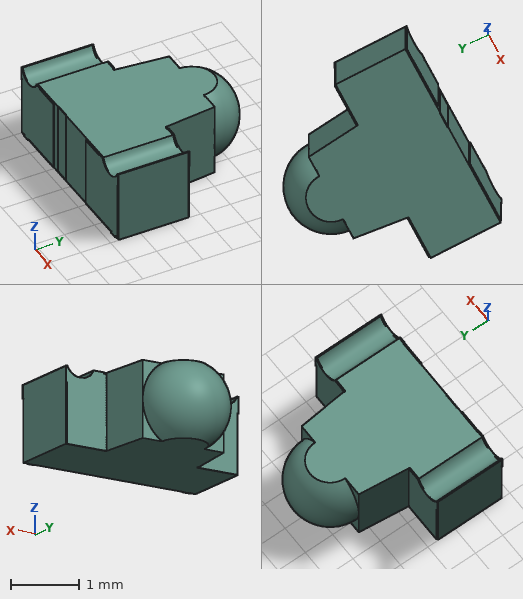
import cadquery as cq
import math

length = 3.0
depth = 1.2
height = 1.2
half_length = length / 2
half_depth = depth / 2
half_height = height / 2

plate_thickness = 0.02
lining_thickness = 0.02
edge_inset = 0.02
front_plate_inner_x = 0.5
front_top_land_x = 0.92
front_ear_height = 0.213
tab_inner_x = 1.287
tab_outer_x = 1.41
back_top_land_x = 0.843
back_ear_height = 0.26

strip_left_x = -0.4
strip_width = 0.25
strip_thickness = 0.01

lens_radius = 0.705
lens_center_y = 1.445
neck_base_half_width = 0.795

groove_radius = 0.25
groove_center_x = 1.25
groove_half_width = half_length - edge_inset - groove_center_x
groove_depth = groove_radius - math.sqrt(groove_radius**2 - groove_half_width**2)
lining_depth = groove_depth + lining_thickness

core_half_depth = half_depth - plate_thickness
recessed_x = half_length - edge_inset
recessed_z = half_height - edge_inset
SIDES = (-1, 1)


def make_groove_segment(side, segment_depth, half_span):
    """Circular segment below the top face, between the groove edges, running along Y."""
    return (
        cq.Workplane("XZ")
        .moveTo(side * groove_center_x - groove_half_width, half_height)
        .threePointArc(
            (side * groove_center_x, half_height - segment_depth),
            (side * groove_center_x + groove_half_width, half_height),
        )
        .close()
        .extrude(half_span, both=True)
    )


def make_strip():
    """Thin upright strip, flush with the front face of the housing block."""
    corner = (strip_left_x, -core_half_depth, -half_height)
    return cq.Workplane("XY").box(strip_width, strip_thickness, height, centered=False).translate(corner)


def make_lens():
    """Sphere flattened to the package height, kept only beyond the end of the neck."""
    lens_space = (
        cq.Workplane("XY")
        .box(2 * lens_radius, lens_radius, height, centered=(True, False, True))
        .translate((0, lens_center_y, 0))
    )
    return cq.Workplane("XY").sphere(lens_radius).translate((0, lens_center_y, 0)).intersect(lens_space)


def make_housing():
    """Block, tapered neck and lens in one piece, with the lined grooves and the strip recess."""
    block = cq.Workplane("XY").box(length, 2 * core_half_depth, height)
    neck = (
        cq.Workplane("XY", origin=(0, 0, -half_height))
        .moveTo(-neck_base_half_width, core_half_depth)
        .lineTo(neck_base_half_width, core_half_depth)
        .lineTo(neck_base_half_width, half_depth)
        .lineTo(lens_radius, lens_center_y)
        .lineTo(-lens_radius, lens_center_y)
        .lineTo(-neck_base_half_width, half_depth)
        .close()
        .extrude(height)
    )
    housing = block.union(neck).union(make_lens()).cut(make_strip())
    for side in SIDES:
        housing = housing.cut(make_groove_segment(side, lining_depth, half_depth))
    return housing.solids()


front_ear_z = half_height - front_ear_height
front_outline = [
    (front_plate_inner_x, recessed_z),
    (front_top_land_x, recessed_z),
    (front_top_land_x, half_height),
    (half_length, half_height),
    (half_length, front_ear_z),
    (recessed_x, front_ear_z),
    (recessed_x, -recessed_z),
    (tab_outer_x, -recessed_z),
    (tab_outer_x, -half_height),
    (tab_inner_x, -half_height),
    (tab_inner_x, -recessed_z),
    (front_plate_inner_x, -recessed_z),
]

back_ear_z = half_height - back_ear_height
back_outline = [
    (neck_base_half_width, recessed_z),
    (back_top_land_x, recessed_z),
    (back_top_land_x, half_height),
    (half_length, half_height),
    (half_length, back_ear_z),
    (recessed_x, back_ear_z),
    (recessed_x, -half_height),
    (neck_base_half_width, -half_height),
]


def make_plate(outline, front_y, side):
    """Plate from an (x, z) outline on the +X half; its -Y surface lies at front_y."""
    points = [(side * x, z) for x, z in outline]
    return cq.Workplane("XZ", origin=(0, front_y, 0)).polyline(points).close().extrude(-plate_thickness)


def make_terminal(side):
    """Front plate, groove lining and back plate in one piece, with the groove cut through."""
    front_plate = make_plate(front_outline, -half_depth, side)
    back_plate = make_plate(back_outline, core_half_depth, side)
    lining = make_groove_segment(side, lining_depth, core_half_depth)
    groove = make_groove_segment(side, groove_depth, half_depth)
    return lining.union(front_plate).union(back_plate).cut(groove).solids()


housing = make_housing()
strip = make_strip()
terminals = [make_terminal(side) for side in SIDES]

result = cq.Compound.makeCompound(
    [housing.val(), strip.val(), *[terminal.val() for terminal in terminals]]
)